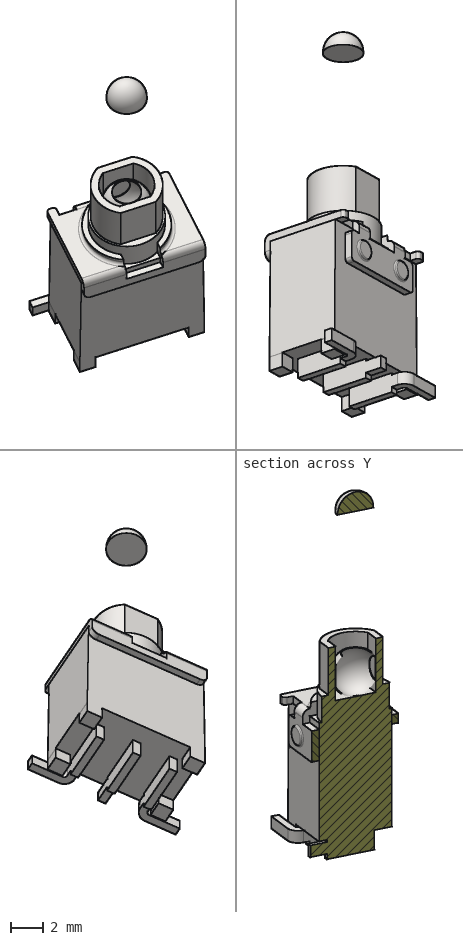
import cadquery as cq


TOTAL_HEIGHT = 24.3
TOTAL_WIDTH = 10.42
SHEET = 0.5

HALF_LENGTH = 2.55
HALF_WIDTH_TOP = 4.05
HALF_WIDTH_BASE = 4.15
HOUSING_TOP = 9.28
HOUSING_FLOOR = 1.3
FOOT_BOTTOM = 0.35
FOOT_LENGTH = 1.02
FOOT_INNER_Y = 3.1

TERMINAL_THICKNESS = 0.53
TERMINAL_PITCH = 2.57
STEM_X_MIN = -2.0
STEM_X_MAX = 1.34
ARM_X_MIN = -3.15
ARM_BOTTOM = 0.36
ARM_TOP = 1.2
ARM_BEND_RADIUS = 0.73

COLLAR_DIAMETER = 4.75
COLLAR_TOP = 11.03
TUBE_DIAMETER = 4.47
TUBE_FLATS = 3.81
TUBE_TOP = 14.19
TUBE_WALL = 0.5

COVER_TOP = HOUSING_TOP + SHEET
SLOT_WIDTH = 2.43
RING_DIAMETER = 5.55
RING_TOP = 10.2
RING_FLARE = 0.22
EAR_X_MIN = -3.2
EAR_INNER_Y = 3.45
EAR_CORNER = 0.22
FLANGE_THICKNESS = 0.44
FLANGE_X_MAX = HALF_LENGTH + FLANGE_THICKNESS
FLANGE_BOTTOM = 8.19
FLANGE_CORNER = 0.5
STRAP_OUTER_Y = 2.3
LUG_HALF_WIDTH = 3.05
LUG_TOP = 8.85
LUG_BOTTOM = 6.73
LUG_CORNER = 0.25

BOSS_Y = 1.85
BOSS_Z = 7.85
BOSS_DIAMETER = 1.26
BOSS_FILLET = 0.07

BALL_RADIUS = 1.6
BALL_CENTER = 12.17
BALL_OPENING_DIAMETER = 1.82
BALL_WALL = 0.05
TIP_RADIUS = 1.26
TIP_BASE = 22.95


def box(x_range, y_range, z_range):
    """Box between the given (low, high) limits."""
    (x0, x1), (y0, y1), (z0, z1) = x_range, y_range, z_range
    return cq.Workplane("XY").box(x1 - x0, y1 - y0, z1 - z0, centered=False).translate((x0, y0, z0))


def cylinder(diameter, z_low, z_high):
    """Cylinder on the Z axis."""
    return cq.Workplane("XY").workplane(offset=z_low).circle(diameter / 2).extrude(z_high - z_low)


def flatted_cylinder(diameter, across_flats, z_low, z_high):
    """Cylinder on the Z axis with two flats that face -X and +X."""
    half_flats = across_flats / 2
    flats = box((-half_flats, half_flats), (-diameter, diameter), (z_low, z_high))
    return cylinder(diameter, z_low, z_high).intersect(flats)


def with_mirror(shape):
    """The shape together with its mirror image across the XZ plane."""
    return shape.union(shape.mirror("XZ"))



def housing_block():
    """Block tapered in Y above its floor, with a straight-sided foot under each corner."""
    block = (
        cq.Workplane("YZ")
        .polyline([
            (-HALF_WIDTH_BASE, HOUSING_FLOOR),
            (HALF_WIDTH_BASE, HOUSING_FLOOR),
            (HALF_WIDTH_TOP, HOUSING_TOP),
            (-HALF_WIDTH_TOP, HOUSING_TOP),
        ])
        .close()
        .extrude(HALF_LENGTH, both=True)
    )
    for x_low in (-HALF_LENGTH, HALF_LENGTH - FOOT_LENGTH):
        foot = box(
            (x_low, x_low + FOOT_LENGTH),
            (FOOT_INNER_Y, HALF_WIDTH_BASE),
            (FOOT_BOTTOM, HOUSING_FLOOR),
        )
        block = block.union(with_mirror(foot))
    return block


def bushing():
    """Round collar that carries a tube with two flats."""
    collar = cylinder(COLLAR_DIAMETER, HOUSING_TOP, COLLAR_TOP)
    tube = flatted_cylinder(TUBE_DIAMETER, TUBE_FLATS, COLLAR_TOP, TUBE_TOP)
    return collar.union(tube)


def lever_recess():
    """Blind recess inside the tube, just deep enough for the ball to rest on its floor."""
    floor = BALL_CENTER - BALL_RADIUS
    return flatted_cylinder(TUBE_DIAMETER - 2 * TUBE_WALL, TUBE_FLATS - 2 * TUBE_WALL, floor, TUBE_TOP)


def terminal_stem(y_center):
    """Flat blade that stands below the housing floor."""
    half = TERMINAL_THICKNESS / 2
    return box((STEM_X_MIN, STEM_X_MAX), (y_center - half, y_center + half), (0, HOUSING_FLOOR))


def center_terminal():
    """Blade with a straight arm toward -X."""
    half = TERMINAL_THICKNESS / 2
    arm = box((ARM_X_MIN, STEM_X_MIN), (-half, half), (ARM_BOTTOM, ARM_TOP))
    return terminal_stem(0).union(arm)


def side_terminal():
    """Blade on the +Y side, with an arm toward -X that bends outward to +Y."""
    inner_y = TERMINAL_PITCH - TERMINAL_THICKNESS / 2
    outer_y = TERMINAL_PITCH + TERMINAL_THICKNESS / 2
    arm_inner_x = ARM_X_MIN + TERMINAL_THICKNESS
    bend_x = ARM_X_MIN + ARM_BEND_RADIUS
    bend_y = inner_y + ARM_BEND_RADIUS
    inner_radius = ARM_BEND_RADIUS - TERMINAL_THICKNESS
    arm = (
        cq.Workplane("XY")
        .workplane(offset=ARM_BOTTOM)
        .moveTo(STEM_X_MIN, inner_y)
        .lineTo(bend_x, inner_y)
        .radiusArc((ARM_X_MIN, bend_y), ARM_BEND_RADIUS)
        .lineTo(ARM_X_MIN, TOTAL_WIDTH / 2)
        .lineTo(arm_inner_x, TOTAL_WIDTH / 2)
        .lineTo(arm_inner_x, bend_y)
        .radiusArc((bend_x, outer_y), -inner_radius)
        .lineTo(STEM_X_MIN, outer_y)
        .close()
        .extrude(ARM_TOP - ARM_BOTTOM)
    )
    return terminal_stem(TERMINAL_PITCH).union(arm)


def make_housing():
    return (
        housing_block()
        .union(bushing())
        .cut(lever_recess())
        .union(center_terminal())
        .union(with_mirror(side_terminal()))
    )



def cover_plate():
    """Top plate with a flange bent down over the +X wall."""
    width = (-HALF_WIDTH_TOP, HALF_WIDTH_TOP)
    plate = box((-HALF_LENGTH, FLANGE_X_MAX), width, (HOUSING_TOP, COVER_TOP))
    flange = box((HALF_LENGTH, FLANGE_X_MAX), width, (FLANGE_BOTTOM, HOUSING_TOP))
    flange = flange.edges("|X and <Z").fillet(FLANGE_CORNER)
    return plate.union(flange).edges("|Y and >X and >Z").fillet(FLANGE_THICKNESS)


def cover_ring():
    """Raised ring around the bushing, flared at its base and trimmed at the -X edge of the plate."""
    radius = RING_DIAMETER / 2
    base_radius = radius + RING_FLARE
    ring = (
        cq.Workplane("XZ")
        .moveTo(0, HOUSING_TOP)
        .lineTo(base_radius, HOUSING_TOP)
        .lineTo(base_radius, COVER_TOP)
        .radiusArc((radius, COVER_TOP + RING_FLARE), RING_FLARE)
        .lineTo(radius, RING_TOP)
        .lineTo(0, RING_TOP)
        .close()
        .revolve(360, (0, 0, 0), (0, 1, 0))
    )
    inside = box(
        (-HALF_LENGTH, FLANGE_X_MAX), (-HALF_WIDTH_TOP, HALF_WIDTH_TOP), (HOUSING_TOP, RING_TOP)
    )
    return ring.intersect(inside)


def cover_slot():
    """Slot along X that splits the plate, the ring and the top of the flange."""
    half = SLOT_WIDTH / 2
    return box((-2 * HALF_LENGTH, 2 * HALF_LENGTH), (-half, half), (LUG_TOP, RING_TOP))


def ear():
    """Ear at the +Y end of the -X edge."""
    block = box((EAR_X_MIN, -HALF_LENGTH), (EAR_INNER_Y, HALF_WIDTH_TOP), (HOUSING_TOP, COVER_TOP))
    return block.edges("|Z and <X").fillet(EAR_CORNER)


def strap():
    """Strap on the +Y side, bent from the plate down to the lug."""
    lug_x = -HALF_LENGTH - SHEET
    return (
        cq.Workplane("XZ")
        .workplane(offset=-STRAP_OUTER_Y)
        .moveTo(-HALF_LENGTH, COVER_TOP)
        .radiusArc((lug_x, HOUSING_TOP), -SHEET)
        .lineTo(lug_x, LUG_TOP)
        .lineTo(-HALF_LENGTH, LUG_TOP)
        .close()
        .extrude(STRAP_OUTER_Y - SLOT_WIDTH / 2)
    )


def lug():
    """Rounded plate that lies against the -X wall of the housing."""
    plate = box(
        (-HALF_LENGTH - SHEET, -HALF_LENGTH),
        (-LUG_HALF_WIDTH, LUG_HALF_WIDTH),
        (LUG_BOTTOM, LUG_TOP),
    )
    return plate.edges("|X").fillet(LUG_CORNER)


def boss():
    """Round boss on the +Y side of the lug, with a rounded rim and a filleted foot."""
    lug_x = -HALF_LENGTH - SHEET
    radius = BOSS_DIAMETER / 2
    wall_x = lug_x - BOSS_FILLET
    face_x = wall_x - BOSS_FILLET
    return (
        cq.Workplane("XY")
        .moveTo(-HALF_LENGTH, 0)
        .lineTo(-HALF_LENGTH, radius + BOSS_FILLET)
        .lineTo(lug_x, radius + BOSS_FILLET)
        .radiusArc((wall_x, radius), BOSS_FILLET)
        .radiusArc((face_x, radius - BOSS_FILLET), -BOSS_FILLET)
        .lineTo(face_x, 0)
        .close()
        .revolve(360, (0, 0, 0), (1, 0, 0))
        .translate((0, BOSS_Y, BOSS_Z))
    )


def make_cover():
    return (
        cover_plate()
        .union(cover_ring())
        .cut(cover_slot())
        .cut(cylinder(COLLAR_DIAMETER, HOUSING_TOP, RING_TOP))
        .union(with_mirror(ear()))
        .union(with_mirror(strap()))
        .union(lug())
        .union(with_mirror(boss()))
    )



def flatted_ball(radius, across_flats):
    """Ball at the pivot of the lever, with flats that face -X and +X."""
    ball = cq.Workplane("XY").sphere(radius).translate((0, 0, BALL_CENTER))
    half_flats = across_flats / 2
    flats = box(
        (-half_flats, half_flats), (-radius, radius), (BALL_CENTER - radius, BALL_CENTER + radius)
    )
    return ball.intersect(flats)


def make_lever_ball():
    """Hollow ball that fits between the flats of the recess and is open at its top."""
    recess_flats = TUBE_FLATS - 2 * TUBE_WALL
    cavity = flatted_ball(BALL_RADIUS - BALL_WALL, recess_flats - 2 * BALL_WALL)
    opening = cylinder(BALL_OPENING_DIAMETER, BALL_CENTER, BALL_CENTER + BALL_RADIUS)
    return flatted_ball(BALL_RADIUS, recess_flats).cut(cavity).cut(opening)


def make_lever_tip():
    """Dome a little taller than a half ball, with a flat base."""
    ball = cq.Workplane("XY").sphere(TIP_RADIUS).translate((0, 0, TOTAL_HEIGHT - TIP_RADIUS))
    across = (-TIP_RADIUS, TIP_RADIUS)
    return ball.intersect(box(across, across, (TIP_BASE, TOTAL_HEIGHT)))


housing = make_housing()
cover = make_cover()
lever_ball = make_lever_ball()
lever_tip = make_lever_tip()

result = cq.Compound.makeCompound([housing.val(), cover.val(), lever_ball.val(), lever_tip.val()])